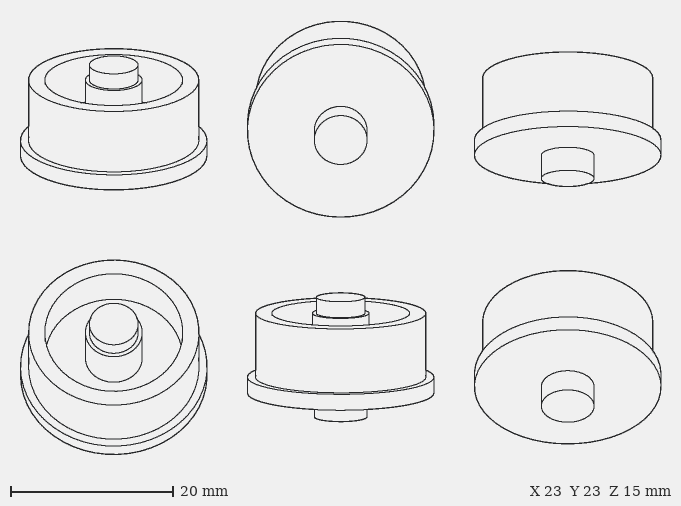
import cadquery as cq

flange_diameter = 23.0
drum_diameter = 21.0
bore_diameter = 17.0
boss_diameter = 7.0
pin_diameter = 6.0
stub_diameter = 6.5

stub_height = 3.0
flange_height = 2.0
drum_height = 8.0
pin_height = 2.0
cup_depth = 6.0

flange_top = stub_height + flange_height
rim_level = flange_top + drum_height
floor_level = rim_level - cup_depth


def cylinder(diameter, height, base_level):
    """Upright cylinder on the Z axis, standing on the given level."""
    return cq.Workplane("XY").workplane(offset=base_level).circle(diameter / 2).extrude(height)


flange = cylinder(flange_diameter, flange_height, stub_height)
drum = cylinder(drum_diameter, drum_height, flange_top)
body = flange.union(drum)

body = body.cut(cylinder(bore_diameter, cup_depth, floor_level))

boss = cylinder(boss_diameter, cup_depth, floor_level)
pin = cylinder(pin_diameter, pin_height, rim_level)

stub = cylinder(stub_diameter, stub_height, 0)

result = body.union(boss).union(pin).union(stub)